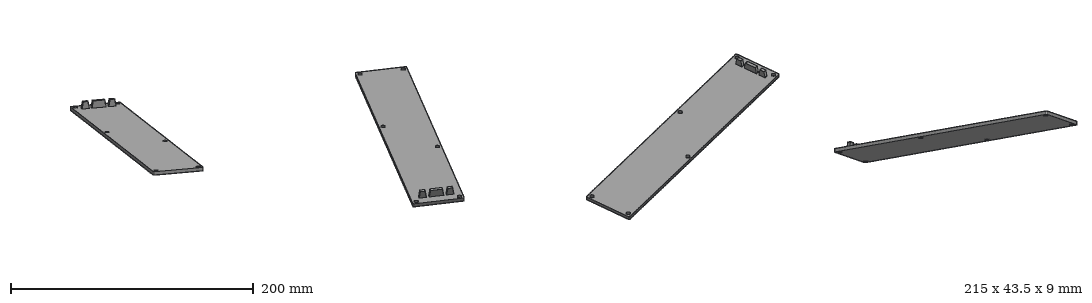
import cadquery as cq

plate_length = 215.0
plate_width = 43.5
plate_thickness = 3.0
corner_radius = 0.99

hole_diameter = 3.5
hole_inset = 3.5
front_middle_hole_x = 85.1
back_middle_hole_x = 126.2

tab_height = 6.0
tab_thickness = 2.8
tab_center_x = 9.2
tab_side_run = 1.0
middle_tab_base = 12.3
outer_tab_base = 6.2
outer_tab_offset = 11.6


def make_plate():
    """Flat plate with rounded vertical corners."""
    plate = cq.Workplane("XY").box(plate_length, plate_width, plate_thickness, centered=False)
    return plate.edges("|Z").fillet(corner_radius)


def hole_positions():
    """One hole in each corner and one along each long edge."""
    front_y = hole_inset
    back_y = plate_width - hole_inset
    far_x = plate_length - hole_inset
    front_row = [(x, front_y) for x in (hole_inset, front_middle_hole_x, far_x)]
    back_row = [(x, back_y) for x in (hole_inset, back_middle_hole_x, far_x)]
    return front_row + back_row


def make_tab(center_y, base_length):
    """Tab narrowing evenly from its base to its flat top."""
    half_base = base_length / 2
    half_top = half_base - tab_side_run
    tab_top = plate_thickness + tab_height
    outline = [
        (center_y - half_base, plate_thickness),
        (center_y + half_base, plate_thickness),
        (center_y + half_top, tab_top),
        (center_y - half_top, tab_top),
    ]
    start_x = tab_center_x - tab_thickness / 2
    tab_plane = cq.Workplane("YZ").workplane(offset=start_x)
    return tab_plane.polyline(outline).close().extrude(tab_thickness)


result = make_plate()
result = result.faces(">Z").workplane(origin=(0, 0, 0)).pushPoints(hole_positions()).hole(hole_diameter)

middle_y = plate_width / 2
tabs = [
    (middle_y - outer_tab_offset, outer_tab_base),
    (middle_y, middle_tab_base),
    (middle_y + outer_tab_offset, outer_tab_base),
]
for tab_y, tab_base in tabs:
    result = result.union(make_tab(tab_y, tab_base))